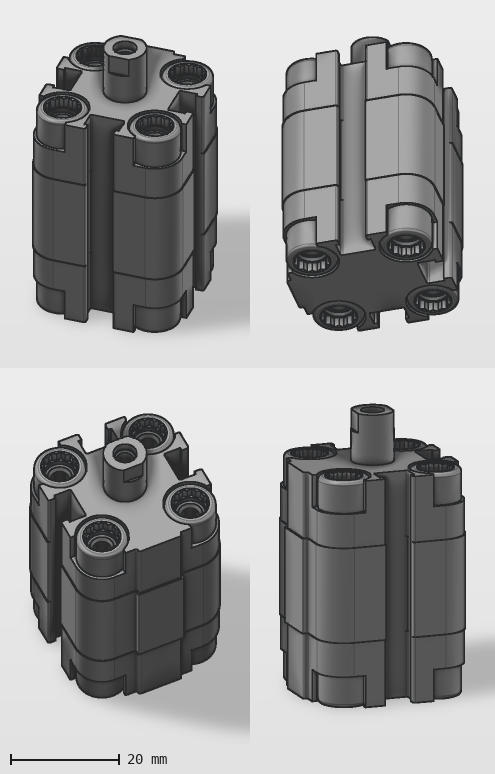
import cadquery as cq
import math


total_height = 52.5
housing_height = 43.0
cap_height = 12.5
barrel_top = housing_height - cap_height

barrel_half_width = 14.5
cap_inset = 0.15
cap_half_width = barrel_half_width - cap_inset
screw_spacing = 18.0
screw_offset = screw_spacing / 2

barrel_rail_y = 15.5
barrel_rail_width = 9.35
cap_rail_inset = 0.3
cap_rail_y = barrel_rail_y - cap_rail_inset
cap_rail_width = barrel_rail_width - 2 * cap_rail_inset

barrel_edge_radius = 0.15
cap_edge_radius = 0.35

slot_mouth_width = 5.4
slot_inner_width = 6.7
slot_floor_distance = 9.5
slot_lip_distance = 12.85
slot_turns = (-90, 0, 90)

recess_depth = 6.05
recess_diameter = 10.0
corner_cut_start = 6.7
screw_diameter = 9.5
screw_edge_radius = 0.75

socket_sides = 6
socket_across_flats = 6.0
socket_across_corners = socket_across_flats / math.cos(math.pi / socket_sides)
socket_depth = 2.1
socket_mouth_diameter = 7.0
socket_mouth_slope = 30.0
bore_diameter = 5.7
bore_depth = 3.05
countersink_diameter = 4.45
through_diameter = 3.25

rod_diameter = 8.0
rod_across_flats = 7.0
rod_flat_height = 3.6
rod_mouth_diameter = 4.3
rod_mouth_depth = 1.5
rod_cone_diameter = 3.95
rod_cone_depth = 0.4
rod_bore_diameter = 3.25
rod_bore_depth = 7.9
drill_tip_angle = 118.0


def round_vertical_edges(block, points, radius):
    """Fillet the vertical edges of the block that pass through the given XY points."""
    tolerance = 0.005

    def is_listed(edge):
        center = edge.Center()
        return any(math.hypot(center.x - x, center.y - y) < tolerance for x, y in points)

    edges = block.edges("|Z").filter(is_listed).vals()
    return block.newObject(edges).fillet(radius)


def turned(points, angle):
    """Rotate XY points about the Z axis by an angle in degrees."""
    c = math.cos(math.radians(angle))
    s = math.sin(math.radians(angle))
    return [(c * x - s * y, s * x + c * y) for x, y in points]


def mirrored_in_x(x, y):
    return [(-x, y), (x, y)]


def housing_section(bottom, height, half_width, rail_y, rail_width, edge_radius, floor_radius):
    """One length of the housing: rounded square, rail and three T-slots."""
    block = (
        cq.Workplane("XY")
        .rect(2 * half_width, 2 * half_width)
        .extrude(height)
        .edges("|Z")
        .fillet(half_width - screw_offset)
    )
    rail = cq.Workplane("XY").center(0, rail_y / 2).rect(rail_width, rail_y).extrude(height)
    block = block.union(rail)

    mouth_depth = half_width - slot_floor_distance
    inner_depth = slot_lip_distance - slot_floor_distance
    mouth = cq.Workplane("XY").rect(slot_mouth_width, 2 * mouth_depth).extrude(height)
    mouth = mouth.translate((0, -half_width, 0))
    inner = cq.Workplane("XY").rect(slot_inner_width, inner_depth).extrude(height)
    inner = inner.translate((0, -slot_floor_distance - inner_depth / 2, 0))
    slot = mouth.union(inner)
    for angle in slot_turns:
        block = block.cut(slot.rotate((0, 0, 0), (0, 0, 1), angle))

    outer_edges = mirrored_in_x(rail_width / 2, rail_y) + mirrored_in_x(rail_width / 2, half_width)
    floor_edges = []
    for angle in slot_turns:
        outer_edges += turned(mirrored_in_x(slot_mouth_width / 2, -half_width), angle)
        floor_edges += turned(mirrored_in_x(slot_inner_width / 2, -slot_floor_distance), angle)
    block = round_vertical_edges(block, outer_edges, edge_radius)
    if floor_radius > 0:
        block = round_vertical_edges(block, floor_edges, floor_radius)
    return block.translate((0, 0, bottom))


def cap_section(bottom):
    """The lower or the upper end cap, which are alike except for their place."""
    return housing_section(
        bottom,
        cap_height,
        cap_half_width,
        cap_rail_y,
        cap_rail_width,
        cap_edge_radius,
        floor_radius=cap_edge_radius,
    )


def barrel_section():
    """The wider middle length; its slot floors have sharp corners."""
    barrel_height = barrel_top - cap_height
    return housing_section(
        cap_height,
        barrel_height,
        barrel_half_width,
        barrel_rail_y,
        barrel_rail_width,
        barrel_edge_radius,
        floor_radius=0,
    )


def corner_recess():
    """Space cut around an upper screw, open to the outer corner; built on the Z axis."""
    corner_start = corner_cut_start - screw_offset
    corner_size = barrel_half_width - corner_cut_start
    ring = cq.Workplane("XY").circle(recess_diameter / 2).extrude(recess_depth)
    corner = cq.Workplane("XY").rect(corner_size, corner_size, centered=False).extrude(recess_depth)
    corner = corner.translate((corner_start, corner_start, 0))
    return ring.union(corner).translate((0, 0, housing_height - recess_depth))


def screw_head():
    """Screw end that stands in an upper recess, flush with the housing top; built on the Z axis."""
    head = cq.Workplane("XY").circle(screw_diameter / 2).extrude(recess_depth)
    head = head.faces(">Z").edges().fillet(screw_edge_radius)
    return head.translate((0, 0, housing_height - recess_depth))


def screw_opening():
    """Socket, bore and countersunk hole down to half the housing height; built on the Z axis."""
    socket = cq.Workplane("XY").polygon(socket_sides, socket_across_corners).extrude(-socket_depth)
    half_pitch = 180 / socket_sides
    socket = socket.union(socket.rotate((0, 0, 0), (0, 0, 1), half_pitch))

    mouth_radius = socket_mouth_diameter / 2
    bore_radius = bore_diameter / 2
    mouth_depth = (mouth_radius - bore_radius) * math.tan(math.radians(socket_mouth_slope))
    sink_radius = countersink_diameter / 2
    hole_radius = through_diameter / 2
    sink_depth = bore_depth + sink_radius - hole_radius
    stepped_hole = (
        cq.Workplane("XZ")
        .moveTo(0, 0)
        .lineTo(mouth_radius, 0)
        .lineTo(bore_radius, -mouth_depth)
        .lineTo(bore_radius, -bore_depth)
        .lineTo(sink_radius, -bore_depth)
        .lineTo(hole_radius, -sink_depth)
        .lineTo(hole_radius, -housing_height / 2)
        .lineTo(0, -housing_height / 2)
        .close()
        .revolve()
    )
    return socket.union(stepped_hole).translate((0, 0, housing_height))


def make_housing():
    """Barrel, both caps and the eight screw ends as one solid."""
    housing = barrel_section().union(cap_section(0)).union(cap_section(barrel_top))
    middle = (0, 0, housing_height / 2)
    diagonal_end = (0.5, 0.5, housing_height / 2)
    features = (corner_recess(), screw_head(), screw_opening())
    for turn in (0, 90, 180, 270):
        for flip in (0, 180):
            placed = [
                feature.translate((screw_offset, screw_offset, 0))
                .rotate(middle, diagonal_end, flip)
                .rotate((0, 0, 0), (0, 0, 1), turn)
                for feature in features
            ]
            recess, head, opening = placed
            housing = housing.cut(recess).union(head).cut(opening)
    return housing


def make_rod():
    """Piston rod standing on the housing, with two wrench flats and a drilled end."""
    rod_height = total_height - housing_height
    rod = cq.Workplane("XY").circle(rod_diameter / 2).extrude(rod_height - rod_flat_height)
    flatted_end = (
        cq.Workplane("XY")
        .workplane(offset=rod_height - rod_flat_height)
        .circle(rod_diameter / 2)
        .extrude(rod_flat_height)
        .intersect(cq.Workplane("XY").box(rod_diameter, rod_across_flats, 2 * rod_height))
    )
    rod = rod.union(flatted_end)

    mouth_radius = rod_mouth_diameter / 2
    cone_radius = rod_cone_diameter / 2
    bore_radius = rod_bore_diameter / 2
    tip_length = bore_radius / math.tan(math.radians(drill_tip_angle / 2))
    hole = (
        cq.Workplane("XZ")
        .moveTo(0, 0)
        .lineTo(mouth_radius, 0)
        .lineTo(mouth_radius, -rod_mouth_depth)
        .lineTo(cone_radius, -rod_mouth_depth)
        .lineTo(bore_radius, -rod_mouth_depth - rod_cone_depth)
        .lineTo(bore_radius, -rod_bore_depth)
        .lineTo(0, -rod_bore_depth - tip_length)
        .close()
        .revolve()
        .translate((0, 0, rod_height))
    )
    return rod.cut(hole).translate((0, 0, housing_height))


housing = make_housing()
rod = make_rod()

result = cq.Compound.makeCompound([housing.val(), rod.val()])